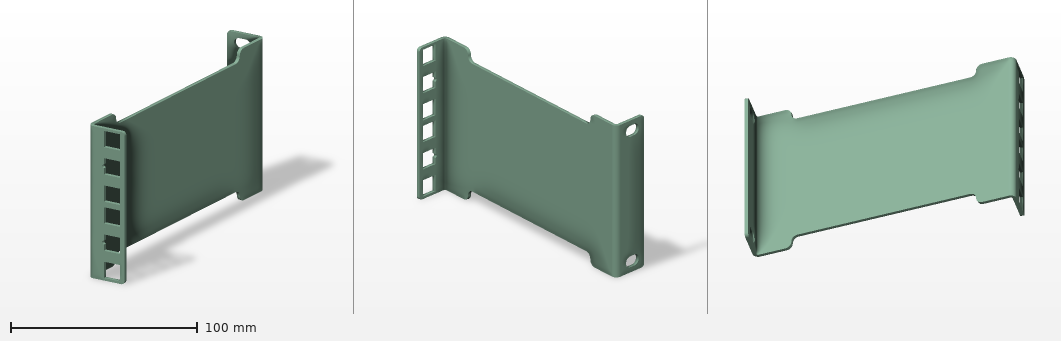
import math

import cadquery as cq

WIDTH = 26.81
DEPTH = 150.0
HEIGHT = 88.65

THICKNESS = 2.0
INNER_BEND_RADIUS = 1.0
OUTER_BEND_RADIUS = INNER_BEND_RADIUS + THICKNESS
FRONT_FLANGE_WIDTH = 22.0
REAR_FLANGE_WIDTH = 21.75
FLANGE_CORNER_RADIUS = 2.0

RECESS_DEPTH = 7.0
RECESS_START = 22.0
RECESS_RADIUS = RECESS_DEPTH / 2

HOLE_X = 0.95
HOLE_PITCH = 15.875
INNER_HOLE_Z = 6.35
HOLE_HEIGHTS = [INNER_HOLE_Z + step * HOLE_PITCH for step in range(3)]
MARKED_HOLE_Z = HOLE_HEIGHTS[1]
SLOT_Z = HOLE_HEIGHTS[2]
SQUARE_SIZE = 9.5
MARK_RADIUS = 1.1
SLOT_LENGTH = 10.0
SLOT_HEIGHT = 6.4

BEND_X = -WIDTH / 2 + OUTER_BEND_RADIUS
BEND_Y = -DEPTH / 2 + OUTER_BEND_RADIUS

WEB_ANGLE = math.atan2(-BEND_X, -BEND_Y) + math.asin(
    (OUTER_BEND_RADIUS + INNER_BEND_RADIUS) / (2 * math.hypot(BEND_X, BEND_Y))
)
FRONT_END_X = -WIDTH / 2 + FRONT_FLANGE_WIDTH
REAR_END_X = WIDTH / 2 - REAR_FLANGE_WIDTH


def bend_point(radius, angle):
    """Point on the front bend, with the angle measured from -X towards +Y."""
    return (BEND_X - radius * math.cos(angle), BEND_Y + radius * math.sin(angle))


def half_turn(point):
    return (-point[0], -point[1])


def bent_sheet():
    """Z-shaped profile extruded over the full height."""
    flange_angle = -math.pi / 2
    middle_angle = (WEB_ANGLE + flange_angle) / 2
    outer_bend, inner_bend = [
        [bend_point(radius, angle) for angle in (flange_angle, middle_angle, WEB_ANGLE)]
        for radius in (OUTER_BEND_RADIUS, INNER_BEND_RADIUS)
    ]

    profile = cq.Workplane("XY").workplane(offset=-HEIGHT / 2).moveTo(FRONT_END_X, -DEPTH / 2)
    profile = (
        profile.lineTo(*outer_bend[0])
        .threePointArc(outer_bend[1], outer_bend[2])
        .lineTo(*half_turn(inner_bend[2]))
        .threePointArc(half_turn(inner_bend[1]), half_turn(inner_bend[0]))
        .lineTo(REAR_END_X, DEPTH / 2 - THICKNESS)
        .lineTo(REAR_END_X, DEPTH / 2)
        .lineTo(*half_turn(outer_bend[0]))
        .threePointArc(half_turn(outer_bend[1]), half_turn(outer_bend[2]))
        .lineTo(*inner_bend[2])
        .threePointArc(inner_bend[1], inner_bend[0])
        .lineTo(FRONT_END_X, -DEPTH / 2 + THICKNESS)
        .close()
    )
    return profile.extrude(HEIGHT)


def round_flange_corners(body):
    """Round the free corners of both flanges."""
    for flange_side in ("<Y", ">Y"):
        end_face = body.faces("|X").faces(flange_side)
        body = end_face.edges("|Y").fillet(FLANGE_CORNER_RADIUS)
    return body


def web_recess():
    """Cutter for the upper recess, drawn square to the slanted web."""
    step = (DEPTH / 2 - RECESS_START) / math.cos(WEB_ANGLE)
    top = HEIGHT / 2
    middle = top - RECESS_RADIUS
    floor = top - RECESS_DEPTH
    web_plane = cq.Plane(
        origin=(0, 0, 0),
        xDir=(math.sin(WEB_ANGLE), math.cos(WEB_ANGLE), 0),
        normal=(math.cos(WEB_ANGLE), -math.sin(WEB_ANGLE), 0),
    )
    outline = (
        cq.Workplane(web_plane)
        .moveTo(-step - RECESS_RADIUS, top)
        .radiusArc((-step, middle), RECESS_RADIUS)
        .radiusArc((-step + RECESS_RADIUS, floor), -RECESS_RADIUS)
        .lineTo(step - RECESS_RADIUS, floor)
        .radiusArc((step, middle), -RECESS_RADIUS)
        .radiusArc((step + RECESS_RADIUS, top), RECESS_RADIUS)
        .close()
    )
    return outline.extrude(2 * THICKNESS, both=True)


def flange_plane(y):
    """Start plane for a cutter that goes through the sheet towards -Y."""
    return cq.Workplane("XZ", origin=(0, y, 0))


def front_holes():
    """Square rack holes; the middle hole of each group of three is notched."""
    squares = [(HOLE_X, sign * z) for z in HOLE_HEIGHTS for sign in (1, -1)]
    marks = [(HOLE_X - SQUARE_SIZE / 2, sign * MARKED_HOLE_Z) for sign in (1, -1)]
    plane = flange_plane(-DEPTH / 2 + THICKNESS)
    holes = plane.pushPoints(squares).rect(SQUARE_SIZE, SQUARE_SIZE).extrude(THICKNESS)
    notches = plane.pushPoints(marks).circle(MARK_RADIUS).extrude(THICKNESS)
    return holes.union(notches)


def rear_slots():
    centres = [(HOLE_X, SLOT_Z), (HOLE_X, -SLOT_Z)]
    return flange_plane(DEPTH / 2).pushPoints(centres).slot2D(SLOT_LENGTH, SLOT_HEIGHT).extrude(THICKNESS)


upper_recess = web_recess()
lower_recess = upper_recess.mirror("XY")

result = round_flange_corners(bent_sheet())
result = result.cut(upper_recess).cut(lower_recess)
result = result.cut(front_holes()).cut(rear_slots())